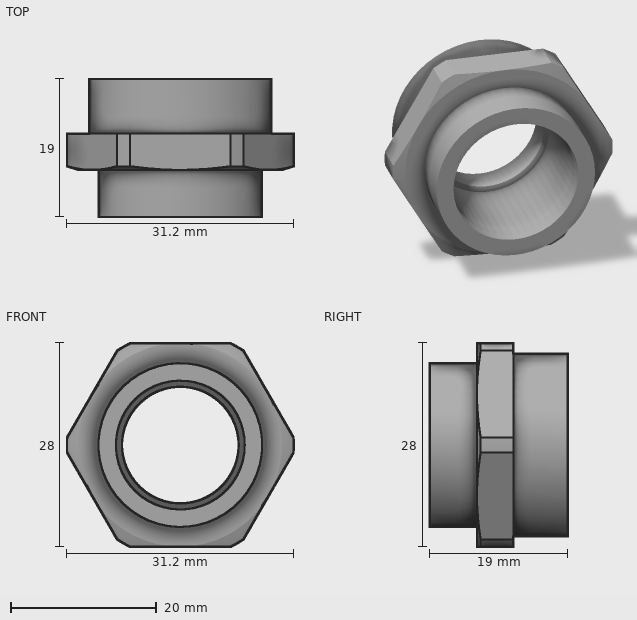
import cadquery as cq
import math

across_flats = 28.0
corner_turn_diameter = 31.2
flange_length = 5.0
chamfer_depth = 0.5

front_diameter = 22.5
front_length = 6.5
rear_diameter = 25.1
rear_length = 7.5

main_bore_diameter = 17.7
lip_bore_diameter = 16.0
lip_length = 4.0

front_end = -front_length
rear_end = flange_length + rear_length


def cylinder(diameter, y_start, y_end):
    """Cylinder about the Y axis between two stations."""
    axis_plane = cq.Plane(origin=(0, y_start, 0), xDir=(1, 0, 0), normal=(0, 1, 0))
    return cq.Workplane(axis_plane).circle(diameter / 2).extrude(y_end - y_start)


def turned_blank():
    """Disc whose front edge is bevelled down to the hexagon's inscribed circle."""
    face_radius = across_flats / 2
    outer_radius = corner_turn_diameter / 2
    profile = (
        cq.Workplane("XY")
        .lineTo(face_radius, 0)
        .lineTo(outer_radius, chamfer_depth)
        .lineTo(outer_radius, flange_length)
        .lineTo(0, flange_length)
        .close()
    )
    return profile.revolve(360, (0, 0, 0), (0, 1, 0))


def hexagon_flange():
    """Hexagon with flats facing +-Z, turned-down corners and a bevelled front."""
    corner_diameter = across_flats / math.cos(math.pi / 6)
    prism = cq.Workplane("XZ").polygon(6, corner_diameter).extrude(-flange_length)
    return prism.intersect(turned_blank())


body = (
    hexagon_flange()
    .union(cylinder(front_diameter, front_end, 0))
    .union(cylinder(rear_diameter, flange_length, rear_end))
)
main_bore = cylinder(main_bore_diameter, front_end, rear_end - lip_length)
lip_bore = cylinder(lip_bore_diameter, front_end, rear_end)
result = body.cut(main_bore).cut(lip_bore)